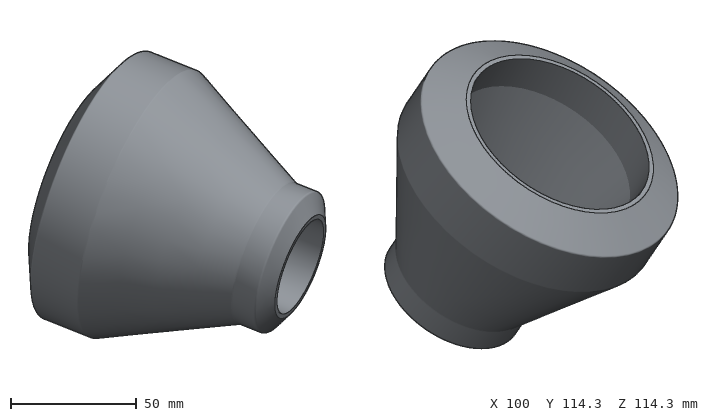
import cadquery as cq
import math

length = 100.0
large_outer_radius = 114.3 / 2
small_outer_radius = 60.4 / 2
large_bore_radius = 79.3 / 2
small_bore_radius = 40.3 / 2

root_face = 2.0
bevel_angle = math.radians(30)

edge_fillet = 1.0

outer_cone_start = 30.1
bore_cone_start = 16.7
cone_end = 85.0


def bevel_length(outer_radius, bore_radius):
    """Axial length of the bevel above the root face."""
    return (outer_radius - bore_radius - root_face) * math.tan(bevel_angle)


large_bevel = bevel_length(large_outer_radius, large_bore_radius)
small_bevel = bevel_length(small_outer_radius, small_bore_radius)

half_section = (
    cq.Workplane("XY")
    .moveTo(0, large_bore_radius)
    .lineTo(0, large_bore_radius + root_face)
    .lineTo(large_bevel, large_outer_radius)
    .lineTo(outer_cone_start, large_outer_radius)
    .lineTo(cone_end, small_outer_radius)
    .lineTo(length - small_bevel, small_outer_radius)
    .lineTo(length, small_bore_radius + root_face)
    .lineTo(length, small_bore_radius)
    .lineTo(cone_end, small_bore_radius)
    .lineTo(bore_cone_start, large_bore_radius)
    .close()
)

reducer = half_section.revolve(360, (0, 0, 0), (1, 0, 0))

tolerance = 0.01
outer_radii = (large_outer_radius, small_outer_radius)
outer_edges = [
    edge
    for edge in reducer.edges("%CIRCLE").vals()
    if any(abs(edge.radius() - radius) < tolerance for radius in outer_radii)
]
result = reducer.newObject(outer_edges).fillet(edge_fillet)